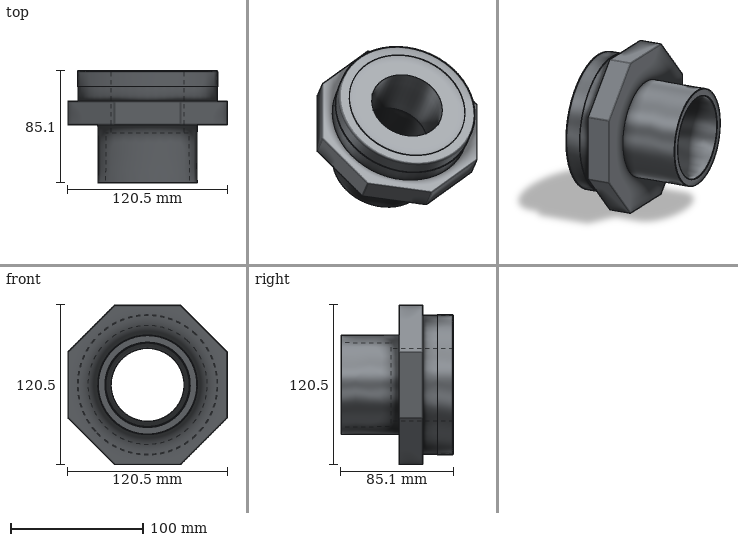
import cadquery as cq

SPIGOT_LENGTH = 44.0
SPIGOT_TIP_DIAMETER = 75.2
SPIGOT_ROOT_DIAMETER = 75.4
SPIGOT_EDGE_CHAMFER = 0.4

FLANGE_SIDES = 8
FLANGE_THICKNESS = 18.0
FLANGE_ACROSS_FLATS = 120.5
FLANGE_CORNER_RADIUS = 1.0
FLANGE_EDGE_RADIUS = 0.5

SLEEVE_LENGTH = 22.5
SLEEVE_DIAMETER = 105.4

SOCKET_MOUTH_DIAMETER = 63.8
SOCKET_FLOOR_DIAMETER = 63.1
SOCKET_DEPTH = 38.0
SOCKET_EDGE_CHAMFER = 0.4
BORE_DIAMETER = 55.0

RING_DIAMETER = 106.15
RING_SEAT_DIAMETER = 105.0
RING_LENGTH = 12.05
RING_BEND_RADIUS = 1.0
RING_LIP_DIAMETER = 90.0

FLANGE_END = SPIGOT_LENGTH + FLANGE_THICKNESS
SLEEVE_END = FLANGE_END + SLEEVE_LENGTH
RING_WALL = (RING_DIAMETER - RING_SEAT_DIAMETER) / 2
RING_END = SLEEVE_END + RING_WALL
RING_START = RING_END - RING_LENGTH
SEAT_BEND_RADIUS = RING_BEND_RADIUS - RING_WALL


def revolve_outline(points):
    """Turn a closed outline of (place along Y, radius) points around the Y axis."""
    return cq.Workplane("YZ").polyline(points).close().revolve(360, (0, 0, 0), (1, 0, 0))


def rod(diameter, start, end):
    """Solid cylinder along Y."""
    radius = diameter / 2
    return revolve_outline([(start, 0), (start, radius), (end, radius), (end, 0)])


def rounded_rod(diameter, start, end, edge_radius):
    """Solid cylinder along Y with a rounded edge at its end."""
    return rod(diameter, start, end).faces(">Y").edges().fillet(edge_radius)


def tapered_rod(tip_diameter, root_diameter, length, edge_flare):
    """Tapered solid from Y = 0, widened there at 45 degrees by edge_flare, or narrowed if negative."""
    tip_radius = tip_diameter / 2
    root_radius = root_diameter / 2
    return revolve_outline(
        [
            (0, 0),
            (0, tip_radius + edge_flare),
            (abs(edge_flare), tip_radius),
            (length, root_radius),
            (length, 0),
        ]
    )


def make_flange():
    """Octagonal flange with flats facing along X and Z, and rounded corners and edges."""
    plane = cq.Workplane("XZ", origin=(0, SPIGOT_LENGTH, 0))
    octagon = plane.polygon(FLANGE_SIDES, FLANGE_ACROSS_FLATS, circumscribed=True)
    octagon = octagon.extrude(-FLANGE_THICKNESS)
    octagon = octagon.edges("|Y").fillet(FLANGE_CORNER_RADIUS)
    return octagon.faces("<Y or >Y").edges().fillet(FLANGE_EDGE_RADIUS)


def make_ring_seat():
    """Turned-down end of the sleeve that fills the inside of the ring."""
    return rounded_rod(RING_SEAT_DIAMETER, RING_START, SLEEVE_END, SEAT_BEND_RADIUS)


def make_bushing():
    """Spigot, flange and sleeve in one piece, with the socket and the through bore cut out."""
    spigot = tapered_rod(SPIGOT_TIP_DIAMETER, SPIGOT_ROOT_DIAMETER, SPIGOT_LENGTH, -SPIGOT_EDGE_CHAMFER)
    sleeve = rod(SLEEVE_DIAMETER, FLANGE_END, RING_START)
    socket = tapered_rod(SOCKET_MOUTH_DIAMETER, SOCKET_FLOOR_DIAMETER, SOCKET_DEPTH, SOCKET_EDGE_CHAMFER)
    bore = rod(BORE_DIAMETER, 0, SLEEVE_END)
    outside = make_flange().union(spigot).union(sleeve).union(make_ring_seat())
    return outside.cut(socket).cut(bore)


def make_ring():
    """Thin ring around the end of the sleeve, bent inward into a lip over the end face."""
    shell = rounded_rod(RING_DIAMETER, RING_START, RING_END, RING_BEND_RADIUS)
    lip_opening = rod(RING_LIP_DIAMETER, RING_START, RING_END)
    return shell.cut(make_ring_seat()).cut(lip_opening)


bushing = make_bushing()
ring = make_ring()
result = cq.Compound.makeCompound([bushing.val(), ring.val()])